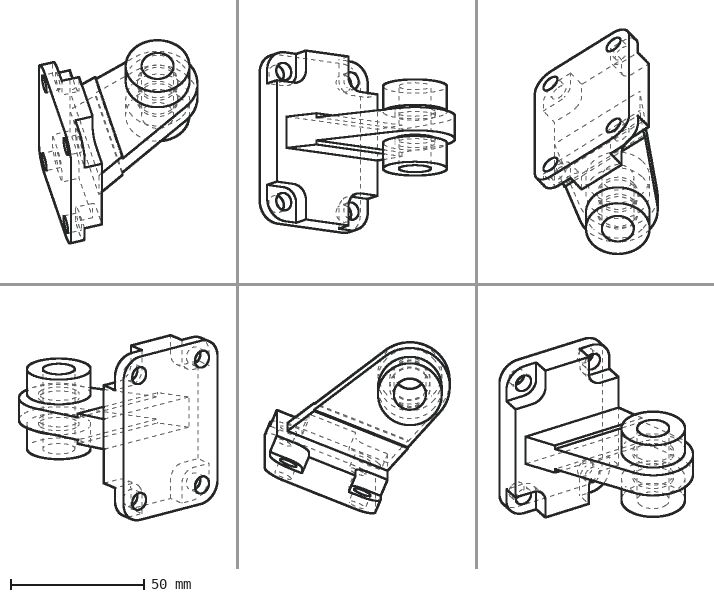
import cadquery as cq
import math

plate_width = 45.0
plate_height = 65.0
plate_depth = 12.0
flange_depth = 5.25
plate_corner_radius = 8.0

hole_diameter = 6.6
hole_inset = 7.5
relief_radius = 5.5
relief_size = hole_inset + relief_radius

eye_radius = 15.0
eye_x = 4.5
eye_y = 45.0
bore_diameter = 12.0
neck_diameter = 15.2
boss_diameter = 24.0
boss_span = 31.7

arm_thickness = 8.9
arm_root_thickness = 12.0
arm_root_end = 23.0
arm_foot_left = 0.0
arm_foot_right = 40.6


def centred_cylinder(diameter, height):
    """Cylinder on the pivot axis, centred on Z = 0."""
    return cq.Workplane("XY").center(eye_x, eye_y).circle(diameter / 2).extrude(height / 2, both=True)


def tangent_point(foot_x, side):
    """Where the line from an arm foot touches the eye; side is -1 for left, 1 for right."""
    dx = foot_x - eye_x
    dy = plate_depth - eye_y
    foot_direction = math.atan2(dy, dx)
    touch_direction = foot_direction + side * math.acos(eye_radius / math.hypot(dx, dy))
    return (
        eye_x + eye_radius * math.cos(touch_direction),
        eye_y + eye_radius * math.sin(touch_direction),
    )


def plate_slab(depth):
    """Rectangular slab with the plate's outline, from Y = 0 to the given depth."""
    return cq.Workplane("XY").box(plate_width, depth, plate_height, centered=(False, False, True))


def corner_relief(side_x, side_z):
    """Square notch for one plate corner, rounded at its inner corner around the screw hole."""
    corner_x = plate_width * (1 + side_x) / 2
    corner_z = plate_height * side_z / 2
    inner_x = corner_x - side_x * relief_size
    inner_z = corner_z - side_z * relief_size
    hole_x = corner_x - side_x * hole_inset
    hole_z = corner_z - side_z * hole_inset
    arc_offset = relief_radius * math.sqrt(0.5)
    return (
        cq.Workplane("XZ")
        .moveTo(corner_x, corner_z)
        .lineTo(corner_x, inner_z)
        .lineTo(hole_x, inner_z)
        .threePointArc((hole_x - side_x * arc_offset, hole_z - side_z * arc_offset), (inner_x, hole_z))
        .lineTo(inner_x, corner_z)
        .close()
        .extrude(-plate_depth)
    )


def make_plate():
    block = plate_slab(plate_depth)
    for side_x in (-1, 1):
        for side_z in (-1, 1):
            block = block.cut(corner_relief(side_x, side_z))
    flange = plate_slab(flange_depth).edges("|Y").fillet(plate_corner_radius)
    holes = (
        cq.Workplane("XZ")
        .center(plate_width / 2, 0)
        .rect(plate_width - 2 * hole_inset, plate_height - 2 * hole_inset, forConstruction=True)
        .vertices()
        .circle(hole_diameter / 2)
        .extrude(-plate_depth)
    )
    return block.union(flange).cut(holes)


def arm_slab(thickness):
    """Full arm outline: two feet on the plate joined tangentially to the round eye."""
    return (
        cq.Workplane("XY")
        .moveTo(arm_foot_left, plate_depth)
        .lineTo(arm_foot_right, plate_depth)
        .lineTo(*tangent_point(arm_foot_right, 1))
        .threePointArc((eye_x, eye_y + eye_radius), tangent_point(arm_foot_left, -1))
        .close()
        .extrude(thickness / 2, both=True)
    )


def make_arm():
    root_zone = (
        cq.Workplane("XY")
        .box(2 * plate_width, arm_root_end, plate_height, centered=(True, False, True))
        .translate((plate_width / 2, 0, 0))
    )
    root = arm_slab(arm_root_thickness).intersect(root_zone)
    return arm_slab(arm_thickness).union(root)


def make_bosses():
    """Upper and lower bosses, each standing off the arm on a narrower neck."""
    boss_gap = centred_cylinder(boss_diameter, arm_root_thickness)
    bosses = centred_cylinder(boss_diameter, boss_span).cut(boss_gap)
    return bosses.union(centred_cylinder(neck_diameter, arm_root_thickness))


bore = centred_cylinder(bore_diameter, boss_span)
result = make_plate().union(make_arm()).union(make_bosses()).cut(bore)